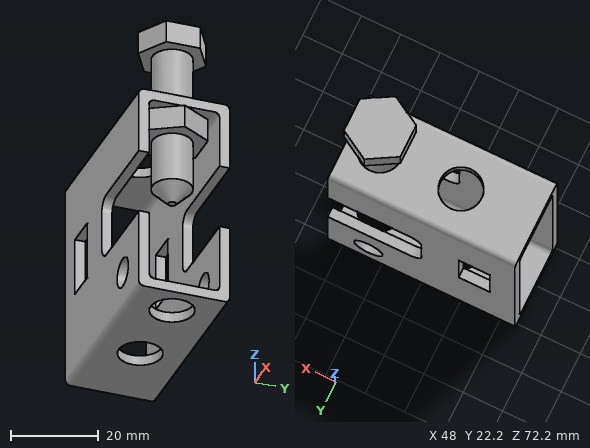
import cadquery as cq

LENGTH = 47.6
WIDTH = 22.2
HEIGHT = 52.4
WALL = 2.5
OUTER_RADIUS = 1.3
INNER_RADIUS = 1.3

MOUTH_BACK_X = 23.75
MOUTH_BOTTOM_Z = 19.8
MOUTH_TOP_Z = 35.7
MOUTH_RADIUS = 3.0

WINDOW_X = 6.35
WINDOW_Z = 20.55
WINDOW_WIDTH = 7.95
WINDOW_HEIGHT = 14.4

SIDE_HOLE_DIAMETER = 7.2
SIDE_HOLE_X = 37.2
SIDE_HOLE_Z = 9.1
ROD_HOLE_X = 19.1
VERTICAL_HOLE_DIAMETER = 10.4

SCREW_X = 39.7
SCREW_TOP_Z = 72.15
SCREW_TIP_Z = 28.3
SHANK_DIAMETER = 9.6
TIP_DIAMETER = 1.9
HEX_ACROSS_FLATS = 14.35
HEX_HEIGHT = 5.6

HEX_ACROSS_CORNERS = HEX_ACROSS_FLATS * 2 / 3 ** 0.5
CEILING_Z = HEIGHT - WALL


def box_between(x_start, x_end, z_start, z_end, width):
    """Box centred on Y between the given X and Z limits."""
    return cq.Workplane("XY").box(
        x_end - x_start, width, z_end - z_start, centered=(False, True, False)
    ).translate((x_start, 0, z_start))


def make_housing():
    tube = box_between(0, LENGTH, 0, HEIGHT, WIDTH).edges("|X").fillet(OUTER_RADIUS)
    cavity = box_between(0, LENGTH, WALL, CEILING_Z, WIDTH - 2 * WALL)
    tube = tube.cut(cavity.edges("|X").fillet(INNER_RADIUS))

    mouth = box_between(MOUTH_BACK_X, LENGTH, MOUTH_BOTTOM_Z, MOUTH_TOP_Z, WIDTH)
    mouth = mouth.edges("|Y and <X").fillet(MOUTH_RADIUS)
    window = box_between(
        WINDOW_X, WINDOW_X + WINDOW_WIDTH, WINDOW_Z, WINDOW_Z + WINDOW_HEIGHT, WIDTH
    )
    side_hole = (
        cq.Workplane("XZ")
        .center(SIDE_HOLE_X, SIDE_HOLE_Z)
        .circle(SIDE_HOLE_DIAMETER / 2)
        .extrude(WIDTH / 2, both=True)
    )
    vertical_holes = (
        cq.Workplane("XY")
        .pushPoints([(ROD_HOLE_X, 0), (SCREW_X, 0)])
        .circle(VERTICAL_HOLE_DIAMETER / 2)
        .extrude(HEIGHT)
    )
    return tube.cut(mouth).cut(window).cut(side_hole).cut(vertical_holes)


def hex_prism(bottom_z):
    """Hexagonal prism on the screw axis with two corners along X."""
    return (
        cq.Workplane("XY", origin=(SCREW_X, 0, bottom_z))
        .polygon(6, HEX_ACROSS_CORNERS)
        .extrude(HEX_HEIGHT)
    )


def make_screw():
    shank_radius = SHANK_DIAMETER / 2
    tip_length = (SHANK_DIAMETER - TIP_DIAMETER) / 2
    head_bottom_z = SCREW_TOP_Z - HEX_HEIGHT
    axis_point = (SCREW_X, 0, 0)
    head = hex_prism(head_bottom_z).rotate(axis_point, (SCREW_X, 0, 1), 30)
    shank = (
        cq.Workplane("XY", origin=(SCREW_X, 0, SCREW_TIP_Z))
        .circle(shank_radius)
        .extrude(head_bottom_z - SCREW_TIP_Z)
        .faces("<Z")
        .chamfer(tip_length)
    )
    return head.union(shank)


def make_nut():
    """Hexagonal nut against the inside of the top wall, fitted to the shank."""
    return hex_prism(CEILING_Z - HEX_HEIGHT).faces(">Z").workplane().hole(SHANK_DIAMETER)


housing = make_housing()
screw = make_screw()
nut = make_nut()

result = cq.Compound.makeCompound([housing.val(), screw.val(), nut.val()])